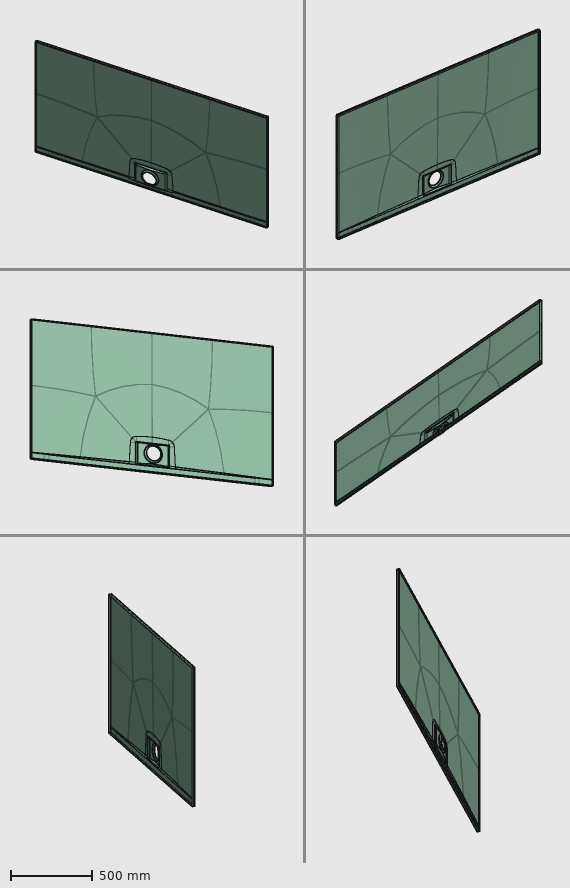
import cadquery as cq


LENGTH = 1600.0
HEIGHT = 900.0
TOTAL_DEPTH = 46.44
RIM_DEPTH = 18.0
SIDE_LIP_WIDTH = 7.0
END_LIP_WIDTH = 6.0
CORNER_RADIUS = 8.0
TOP_EDGE_RADIUS = 5.5
WALL = 3.0
CLEARANCE = 10.0

BOX_HALF_WIDTH = 112.5
BOX_WALL_RUN = 10.5
BOX_END_RUN = 9.0
BOX_TOP_Z = -264.0
BOX_BOTTOM_Z = -411.0
BOX_START_DEPTH = 24.5
BOX_EDGE_DEPTH = 31.5
BOX_RIDGE_DEPTH = 37.5

DRAIN_Z = -335.0
SPOUT_BASE_RADIUS = 60.0
SPOUT_TIP_RADIUS = 48.0
BORE_RADIUS = 47.0

FIELD_HALF_WIDTH = LENGTH / 2 - SIDE_LIP_WIDTH
FIELD_TOP_Z = HEIGHT / 2 - END_LIP_WIDTH
FIELD_BOTTOM_Z = -399.0
FIELD_FOOT_Z = -403.0
FIELD_CORNER_Z = -407.5

LIP_SAG = -4.0
KNEE_SAG = -0.7
FOOT_SAG = 0.8
BOX_SAG = 3.5

KNEE = (373.0, -2.0)
CROWN_Z = 115.0
TOP_CREASE_X = 400.0
SIDE_CREASE_Z = 22.0
FOOT_X = 475.0
TOP_CREASE_BOW = (392.0, 210.0)
SIDE_CREASE_BOW = (575.0, 15.0)
FOOT_CREASE_BOW = (437.0, -195.0)
CROWN_CREASE_BOW = (190.0, 81.0)

STRIP_TILT_RISE = 1.5
STRIP_END_HALF_WIDTH = 708.0
STRIP_END_RISE = 1.0
STRIP_FULL_HALF_WIDTH = 680.0
STRIP_TOP_DEPTH = RIM_DEPTH + LIP_SAG - WALL

COLLAR_START_DEPTH = RIM_DEPTH + BOX_SAG
COLLAR_FOOT_HALF_WIDTH = 153.0
COLLAR_SHOULDER_HALF_WIDTH = 145.0
COLLAR_SHOULDER_Z = -273.0
COLLAR_CROWN_HALF_WIDTH = 105.0
COLLAR_CROWN_EDGE_Z = -231.0
COLLAR_CROWN_Z = -224.0
COLLAR_END_DEPTH = 24.0
SHOULDER_BULGE = 0.2


def point(x, z, depth):
    return cq.Vector(x, -depth, z)


def floor_point(x, z, sag):
    return point(x, z, RIM_DEPTH + sag)


def line(start, end):
    return cq.Edge.makeLine(start, end)


def filled(*edges):
    return cq.Face.makeNSidedSurface(list(edges), [])


def flat_face(corners):
    return cq.Face.makeFromWires(cq.Wire.makePolygon(corners, close=True))


def half_floor_faces():
    """Underside panels of the -X half, from the step at the bottom to the lip."""
    corner_top = floor_point(-FIELD_HALF_WIDTH, FIELD_TOP_Z, LIP_SAG)
    top_crease = floor_point(-TOP_CREASE_X, FIELD_TOP_Z, LIP_SAG)
    top_middle = floor_point(0, FIELD_TOP_Z, LIP_SAG)
    side_crease = floor_point(-FIELD_HALF_WIDTH, SIDE_CREASE_Z, LIP_SAG)
    corner_bottom = floor_point(-FIELD_HALF_WIDTH, FIELD_CORNER_Z, LIP_SAG)
    knee = floor_point(-KNEE[0], KNEE[1], KNEE_SAG)
    crown = floor_point(0, CROWN_Z, KNEE_SAG)
    foot = floor_point(-FOOT_X, FIELD_FOOT_Z, FOOT_SAG)
    box_corner = floor_point(-BOX_HALF_WIDTH, BOX_TOP_Z, BOX_SAG)
    box_top = floor_point(0, BOX_TOP_Z, BOX_SAG)
    box_foot = floor_point(-BOX_HALF_WIDTH, FIELD_BOTTOM_Z, BOX_SAG)
    box_bottom = floor_point(0, FIELD_BOTTOM_Z, BOX_SAG)

    def bowed(start, bow, sag, end):
        return cq.Edge.makeThreePointArc(start, floor_point(-bow[0], bow[1], sag), end)

    rim_crease_sag = (KNEE_SAG + LIP_SAG) / 2
    crease_up = bowed(top_crease, TOP_CREASE_BOW, rim_crease_sag, knee)
    crease_side = bowed(side_crease, SIDE_CREASE_BOW, rim_crease_sag, knee)
    crease_foot = bowed(knee, FOOT_CREASE_BOW, (KNEE_SAG + FOOT_SAG) / 2, foot)
    crease_crown = bowed(knee, CROWN_CREASE_BOW, KNEE_SAG, crown)
    crease_box = line(knee, box_corner)
    middle_up = line(top_middle, crown)
    middle_down = line(crown, box_top)
    box_side = line(box_corner, box_foot)
    box_head = line(box_corner, box_top)
    bottom_edges = [
        line(corner_bottom, foot),
        line(foot, box_foot),
        line(box_foot, box_bottom),
    ]
    faces = [
        filled(line(corner_top, top_crease), crease_up, crease_side, line(side_crease, corner_top)),
        filled(line(top_crease, top_middle), middle_up, crease_crown, crease_up),
        filled(crease_side, crease_foot, bottom_edges[0], line(corner_bottom, side_crease)),
        filled(crease_crown, middle_down, box_head, crease_box),
        filled(crease_box, box_side, bottom_edges[1], crease_foot),
        filled(box_head, line(box_top, box_bottom), bottom_edges[2], box_side),
    ]

    step_ends = [
        floor_point(-FIELD_HALF_WIDTH, BOX_BOTTOM_Z, LIP_SAG),
        floor_point(-FOOT_X, BOX_BOTTOM_Z, LIP_SAG),
        floor_point(-BOX_HALF_WIDTH, BOX_BOTTOM_Z, LIP_SAG),
        floor_point(0, BOX_BOTTOM_Z, LIP_SAG),
    ]
    for index, upper in enumerate(bottom_edges):
        lower = line(step_ends[index], step_ends[index + 1])
        faces.append(cq.Face.makeRuledSurface(upper, lower))
    return faces


def floor_body(top_y):
    """Everything between the sloping underside and the plane Y = top_y."""
    half = half_floor_faces()
    faces = half + [face.mirror("YZ") for face in half]
    right_side = [
        (TOP_CREASE_X, FIELD_TOP_Z),
        (FIELD_HALF_WIDTH, FIELD_TOP_Z),
        (FIELD_HALF_WIDTH, SIDE_CREASE_Z),
        (FIELD_HALF_WIDTH, FIELD_CORNER_Z),
        (FIELD_HALF_WIDTH, BOX_BOTTOM_Z),
        (FOOT_X, BOX_BOTTOM_Z),
        (BOX_HALF_WIDTH, BOX_BOTTOM_Z),
    ]
    left_side = [(-x, z) for x, z in reversed(right_side)]
    outline = [(0, FIELD_TOP_Z)] + right_side + [(0, BOX_BOTTOM_Z)] + left_side
    low = [floor_point(x, z, LIP_SAG) for x, z in outline]
    high = [cq.Vector(x, top_y, z) for x, z in outline]
    for i in range(len(outline)):
        faces.append(flat_face([low[i - 1], low[i], high[i], high[i - 1]]))
    faces.append(flat_face(high))
    shell = cq.Shell.makeShell(faces)
    solid = cq.Solid.makeSolid(shell)
    return cq.Workplane("XY").newObject([solid.fix()])


def rim():
    """Rounded frame around the thin floor."""
    plate = cq.Workplane("XZ").rect(LENGTH, HEIGHT).extrude(RIM_DEPTH)
    plate = plate.edges("|Y").fillet(CORNER_RADIUS)
    plate = plate.faces(">Y").edges().fillet(TOP_EDGE_RADIUS)
    window = cq.Workplane("XZ").rect(2 * FIELD_HALF_WIDTH, 2 * FIELD_TOP_Z).extrude(RIM_DEPTH)
    return plate.cut(window)


def bottom_strip():
    """Thin strip between the floor panels and the bottom lip."""

    def section(x, rise):
        corners = [
            point(x, -FIELD_TOP_Z, STRIP_TOP_DEPTH),
            point(x, BOX_BOTTOM_Z, STRIP_TOP_DEPTH),
            floor_point(x, BOX_BOTTOM_Z, LIP_SAG),
            floor_point(x, -FIELD_TOP_Z, LIP_SAG - rise),
        ]
        return cq.Wire.makePolygon(corners, close=True)

    stations = [
        (-FIELD_HALF_WIDTH, 0),
        (-STRIP_END_HALF_WIDTH, STRIP_END_RISE),
        (-STRIP_FULL_HALF_WIDTH, STRIP_TILT_RISE),
        (0, STRIP_TILT_RISE),
        (STRIP_FULL_HALF_WIDTH, STRIP_TILT_RISE),
        (STRIP_END_HALF_WIDTH, STRIP_END_RISE),
        (FIELD_HALF_WIDTH, 0),
    ]
    return cq.Workplane(cq.Solid.makeLoft([section(x, rise) for x, rise in stations], True))


def drain_box(inset, top_y):
    """Drain trough with its walls moved in and its floor moved up by `inset`."""
    half_width = BOX_HALF_WIDTH - inset
    floor_half_width = half_width - BOX_WALL_RUN
    start_y = inset - BOX_START_DEPTH
    edge_y = inset - BOX_EDGE_DEPTH
    ridge_y = inset - BOX_RIDGE_DEPTH
    top_z = BOX_TOP_Z - inset
    bottom_z = BOX_BOTTOM_Z + inset

    cross_section = [
        (-half_width, top_y),
        (-half_width, start_y),
        (-floor_half_width, edge_y),
        (0, ridge_y),
        (floor_half_width, edge_y),
        (half_width, start_y),
        (half_width, top_y),
    ]
    side_section = [
        (top_y, bottom_z),
        (start_y, bottom_z),
        (ridge_y, bottom_z + BOX_END_RUN),
        (ridge_y, top_z - BOX_END_RUN),
        (start_y, top_z),
        (top_y, top_z),
    ]
    trough = cq.Workplane("XY").polyline(cross_section).close().extrude(HEIGHT, both=True)
    ends = cq.Workplane("YZ").polyline(side_section).close().extrude(LENGTH, both=True)
    return trough.intersect(ends)


def collar():
    """Flare that blends the floor panels into the drain box."""
    foot = COLLAR_FOOT_HALF_WIDTH
    shoulder = COLLAR_SHOULDER_HALF_WIDTH
    crown = COLLAR_CROWN_HALF_WIDTH
    arc_x = (shoulder + crown) / 2 + (shoulder - crown) * SHOULDER_BULGE
    arc_rise = COLLAR_CROWN_EDGE_Z - COLLAR_SHOULDER_Z
    arc_z = COLLAR_SHOULDER_Z + arc_rise * (1 / 2 + SHOULDER_BULGE)
    crown_quarter_z = COLLAR_CROWN_Z - (COLLAR_CROWN_Z - COLLAR_CROWN_EDGE_Z) / 4

    outer = (
        cq.Workplane("XZ", origin=(0, -COLLAR_START_DEPTH, 0))
        .moveTo(-foot, BOX_BOTTOM_Z)
        .lineTo(-shoulder, COLLAR_SHOULDER_Z)
        .threePointArc((-arc_x, arc_z), (-crown, COLLAR_CROWN_EDGE_Z))
        .threePointArc((-crown / 2, crown_quarter_z), (0, COLLAR_CROWN_Z))
        .threePointArc((crown / 2, crown_quarter_z), (crown, COLLAR_CROWN_EDGE_Z))
        .threePointArc((arc_x, arc_z), (shoulder, COLLAR_SHOULDER_Z))
        .lineTo(foot, BOX_BOTTOM_Z)
        .close()
    )
    inner = (
        cq.Workplane("XZ", origin=(0, -COLLAR_END_DEPTH, 0))
        .moveTo(-BOX_HALF_WIDTH, BOX_BOTTOM_Z)
        .lineTo(-BOX_HALF_WIDTH, COLLAR_SHOULDER_Z)
        .lineTo(-crown, BOX_TOP_Z)
        .lineTo(0, BOX_TOP_Z)
        .lineTo(crown, BOX_TOP_Z)
        .lineTo(BOX_HALF_WIDTH, COLLAR_SHOULDER_Z)
        .lineTo(BOX_HALF_WIDTH, BOX_BOTTOM_Z)
        .close()
    )
    flare = cq.Workplane(cq.Solid.makeLoft([outer.val(), inner.val()], True))
    skirt = outer.extrude(STRIP_TOP_DEPTH - COLLAR_START_DEPTH)
    return skirt.union(flare)


def spout(inset):
    """Tapered drain outlet with its wall moved in and its tip moved up by `inset`."""
    base_radius = SPOUT_BASE_RADIUS - inset
    base_depth = BOX_EDGE_DEPTH - inset
    cone_depth = BOX_RIDGE_DEPTH - inset
    tip_radius = SPOUT_TIP_RADIUS - inset
    rise = TOTAL_DEPTH - BOX_RIDGE_DEPTH
    down = cq.Vector(0, -1, 0)
    base_centre = point(0, DRAIN_Z, base_depth)
    cone_centre = point(0, DRAIN_Z, cone_depth)
    base = cq.Solid.makeCylinder(base_radius, cone_depth - base_depth, base_centre, down)
    cone = cq.Solid.makeCone(base_radius, tip_radius, rise, cone_centre, down)
    return cq.Workplane(base.fuse(cone))


def bore():
    return cq.Workplane("XZ").center(0, DRAIN_Z).circle(BORE_RADIUS).extrude(TOTAL_DEPTH)


underside = rim().union(bottom_strip())
for body in (floor_body(-STRIP_TOP_DEPTH), collar(), drain_box(0, -STRIP_TOP_DEPTH), spout(0)):
    underside = underside.union(body)

floor_hollow = floor_body(CLEARANCE).translate((0, WALL, WALL))
floor_hollow = floor_hollow.intersect(
    cq.Workplane("XZ").rect(2 * FIELD_HALF_WIDTH, 2 * FIELD_TOP_Z).extrude(TOTAL_DEPTH)
)
tray = underside.cut(floor_hollow)
for hollow in (drain_box(WALL, CLEARANCE), spout(WALL), bore()):
    tray = tray.cut(hollow)
result = tray